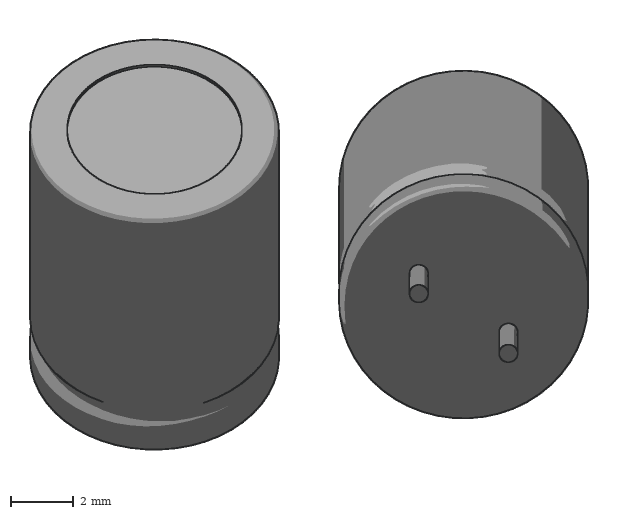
import cadquery as cq
import math

total_height = 13.0
can_diameter = 8.0
long_pin_length = 2.0
can_height = total_height - long_pin_length
can_radius = can_diameter / 2
edge_fillet = 0.2

groove_height = 1.57
groove_depth = 0.21
groove_radius = 0.5
shoulder_radius = 0.3

recess_diameter = 5.6
recess_depth = 0.1

pin_diameter = 0.6
pin_pitch = 3.5
short_pin_length = long_pin_length - 0.1


def make_can():
    """Revolve the can profile, including the groove of three tangent arcs."""
    center_distance = groove_radius + shoulder_radius
    angle = math.acos(1 - groove_depth / center_distance)
    half_width = center_distance * math.sin(angle)
    shoulder_center_r = can_radius - shoulder_radius
    floor_r = can_radius - groove_depth

    tangent_r = shoulder_center_r + shoulder_radius * math.cos(angle)
    tangent_rise = groove_radius * math.sin(angle)
    middle_r = shoulder_center_r + shoulder_radius * math.cos(angle / 2)
    middle_rise = half_width - shoulder_radius * math.sin(angle / 2)

    profile = (
        cq.Workplane("XZ")
        .lineTo(can_radius, 0)
        .lineTo(can_radius, groove_height - half_width)
        .threePointArc((middle_r, groove_height - middle_rise), (tangent_r, groove_height - tangent_rise))
        .threePointArc((floor_r, groove_height), (tangent_r, groove_height + tangent_rise))
        .threePointArc((middle_r, groove_height + middle_rise), (can_radius, groove_height + half_width))
        .lineTo(can_radius, can_height)
        .lineTo(0, can_height)
        .close()
    )
    can = profile.revolve(360, (0, 0, 0), (0, 1, 0))
    return can.faces("<Z or >Z").edges().fillet(edge_fillet)


def make_recess():
    """Disc removed from the top of the can."""
    recess_floor = can_height - recess_depth
    return cq.Workplane("XY").workplane(offset=recess_floor).circle(recess_diameter / 2).extrude(recess_depth)


def make_pin(x, length):
    """Round pin hanging down from the underside of the can."""
    return cq.Workplane("XY").center(x, 0).circle(pin_diameter / 2).extrude(-length)


result = (
    make_can()
    .cut(make_recess())
    .union(make_pin(-pin_pitch / 2, long_pin_length))
    .union(make_pin(pin_pitch / 2, short_pin_length))
)